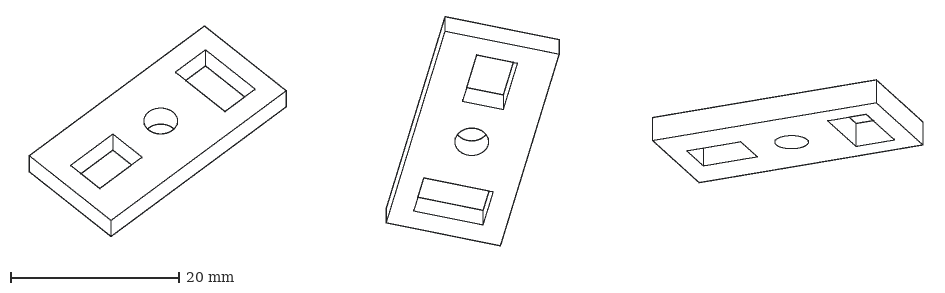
import cadquery as cq

width = 14.0
length = 29.0
thickness = 3.0

end_margin = 2.5
wide_window_x = 8.5
short_side = 5.0
long_window_y = 7.0
hole_diameter = 4.0
hole_offset_y = 0.5

wide_window_center_y = length / 2 - end_margin - short_side / 2
long_window_center_y = -length / 2 + end_margin + long_window_y / 2


def cut_window(body, center_y, size_x, size_y):
    """Cut a rectangular window through the plate."""
    return body.cut(cq.Workplane("XY").center(0, center_y).rect(size_x, size_y).extrude(thickness))


plate = cq.Workplane("XY").rect(width, length).extrude(thickness)
plate = cut_window(plate, wide_window_center_y, wide_window_x, short_side)
plate = cut_window(plate, long_window_center_y, short_side, long_window_y)

round_hole = cq.Workplane("XY").center(0, hole_offset_y).circle(hole_diameter / 2).extrude(thickness)
result = plate.cut(round_hole)